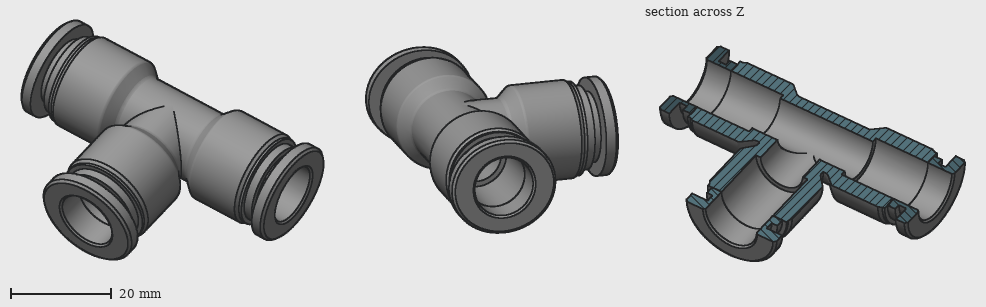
import cadquery as cq


NECK_DIAMETER = 15.2
BARREL_DIAMETER = 19.7
END_FACE_DIAMETER = 18.9
NECK_END = 8.6
BARREL_START = 11.1
BARREL_END = 22.15
TAPER_END = 22.9
HOUSING_END = 23.5
NECK_FILLET = 1.0
SHOULDER_FILLET = 0.75

FLOW_DIAMETER = 10.0
TUBE_SOCKET_DIAMETER = 12.2
SOCKET_FLOOR = BARREL_START

PORT_MOUTH = 29.6
COLLAR_DIAMETER = 16.9
COLLAR_END = 25.35
STEM_DIAMETER = 14.2
FLANGE_THICKNESS = 2.6
FLANGE_WIDTH = 21.55
FLANGE_HEIGHT = 19.55
FLANGE_CHAMFER = 0.55
SLEEVE_BORE_DIAMETER = 12.15
MOUTH_CHAMFER = 0.4

PORT_ANGLES = (0, 180, -90)


def aim(body, angle):
    """Turn a body modelled along +X about the vertical axis of the tee."""
    return body.rotate((0, 0, 0), (0, 0, 1), angle)


def cylinder(diameter, start, end):
    """Cylinder along +X between two distances from the tee centre."""
    return cq.Workplane("YZ").workplane(offset=start).circle(diameter / 2).extrude(end - start)


def circle_at(distance):
    """Selector for the edges lying in the plane at one distance along +X."""
    margin = 0.05
    reach = BARREL_DIAMETER
    return cq.selectors.BoxSelector(
        (distance - margin, -reach, -reach),
        (distance + margin, reach, reach),
        boundingbox=True,
    )


def port_exterior():
    """Neck, conical shoulder, barrel and tapered end of one housing port."""
    neck_radius = NECK_DIAMETER / 2
    barrel_radius = BARREL_DIAMETER / 2
    end_radius = END_FACE_DIAMETER / 2
    exterior = (
        cq.Workplane("XY")
        .polyline([
            (0, 0),
            (0, neck_radius),
            (NECK_END, neck_radius),
            (BARREL_START, barrel_radius),
            (BARREL_END, barrel_radius),
            (TAPER_END, end_radius),
            (HOUSING_END, end_radius),
            (HOUSING_END, 0),
        ])
        .close()
        .revolve(360, (0, 0, 0), (1, 0, 0))
    )
    for distance, fillet in ((NECK_END, NECK_FILLET), (BARREL_START, SHOULDER_FILLET)):
        exterior = exterior.edges(circle_at(distance)).fillet(fillet)
    return exterior


def port_bore():
    """Flow passage from the tee centre, widening into the tube socket."""
    passage = cylinder(FLOW_DIAMETER, 0, SOCKET_FLOOR)
    socket = cylinder(TUBE_SOCKET_DIAMETER, SOCKET_FLOOR, HOUSING_END)
    return passage.union(socket)


def make_housing():
    """Tee housing: three port exteriors joined, then hollowed by their bores."""
    exterior = port_exterior()
    bore = port_bore()
    housing = cq.Workplane("XY")
    for angle in PORT_ANGLES:
        housing = housing.union(aim(exterior, angle))
    for angle in PORT_ANGLES:
        housing = housing.cut(aim(bore, angle))
    return housing


def make_release_sleeve(angle):
    """Release sleeve seated on a housing end face, with an oval push flange."""
    flange_start = PORT_MOUTH - FLANGE_THICKNESS
    collar = cylinder(COLLAR_DIAMETER, HOUSING_END, COLLAR_END)
    stem = cylinder(STEM_DIAMETER, COLLAR_END, flange_start)
    flange = (
        cq.Workplane("YZ")
        .workplane(offset=flange_start)
        .ellipse(FLANGE_WIDTH / 2, FLANGE_HEIGHT / 2)
        .extrude(FLANGE_THICKNESS)
        .faces(">X")
        .chamfer(FLANGE_CHAMFER)
    )
    bore = cylinder(SLEEVE_BORE_DIAMETER, HOUSING_END, PORT_MOUTH)
    sleeve = collar.union(stem).union(flange).cut(bore)
    sleeve = sleeve.faces(">X").edges("%CIRCLE").chamfer(MOUTH_CHAMFER)
    return aim(sleeve, angle)


housing = make_housing()
release_sleeves = [make_release_sleeve(angle) for angle in PORT_ANGLES]

result = cq.Compound.makeCompound([housing.val(), *[sleeve.val() for sleeve in release_sleeves]])